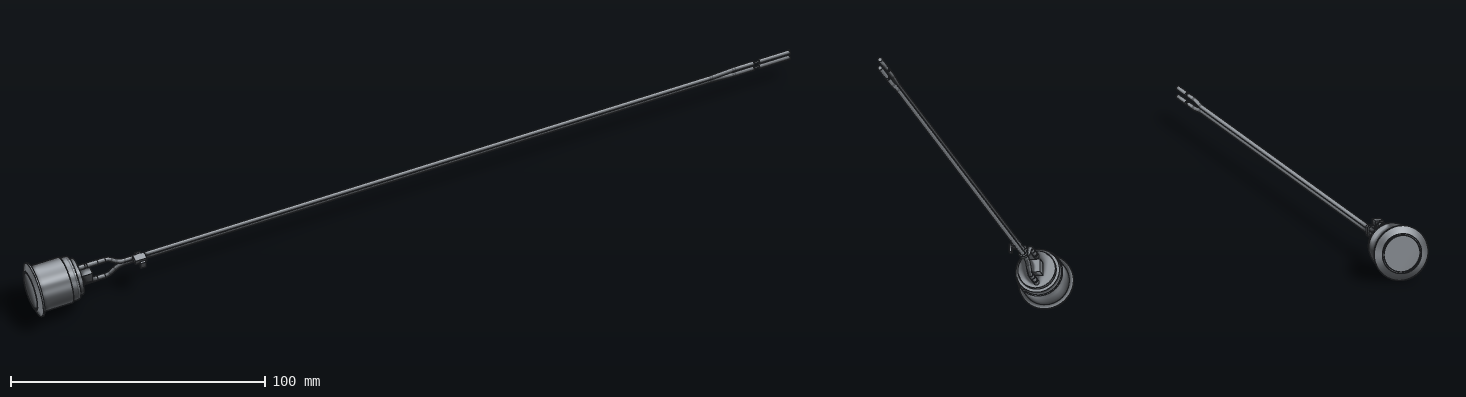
import cadquery as cq
import math

flange_diameter = 22.0
flange_back = 2.0
rim_angle = math.radians(22)
bezel_diameter = 16.0
cap_diameter = 14.7
cap_gap_depth = 0.5
barrel_diameter = 19.0
barrel_back = 14.7
collar_diameter = 18.0
collar_back = 18.0
collar_taper_length = 1.0
collar_back_diameter = 17.5
back_disc_diameter = 15.0
housing_back = 20.0
block_width = 5.0
block_back = 25.3

total_length = 320.0
core_diameter = 1.8
core_overlap = 0.05
cable_offset = (core_diameter - core_overlap) / 2
conductor_diameter = 0.8

breakout_start = 39.7
breakout_slope_start = 36.0
breakout_slope_end = 33.5
breakout_end = 31.5
breakout_angle = math.radians(43)

spread_start = 286.5
spread_slope_start = 287.5
spread_slope_end = 296.0
spread_end = 297.0
spread_angle = math.radians(5)
strip_start = 305.0
strip_end = 307.2

sleeve_diameter = 2.0
sleeve_end = 28.0
crimp_diameter = 2.1
crimp_end = 23.7
foot_start = 22.7

tie_front = 44.5
tie_back = 46.7
band_half_width = 1.45
band_half_height = 2.2
band_corner_radius = 0.8
band_thickness = 0.48
tail_thickness = 1.0
tail_bottom = 0.0
tail_top = 3.2
head_left = 1.3
head_right = 4.5
head_front = 42.5
head_back = 47.5
head_top = 4.5


def block(x_range, y_range, z_range):
    """Box spanning the given coordinate ranges."""
    sizes = [high - low for low, high in (x_range, y_range, z_range)]
    corner = (x_range[0], y_range[0], z_range[0])
    return cq.Workplane("XY").box(*sizes, centered=False).translate(corner)


def rod(diameter, y_start, y_end, z):
    """Round rod along Y at height z."""
    disc = cq.Workplane("XZ", origin=(0, y_start, z)).circle(diameter / 2)
    return disc.extrude(y_start - y_end)


def make_housing():
    """Turned push-button housing with a square block on its back."""
    flange_radius = flange_diameter / 2
    bezel_radius = bezel_diameter / 2
    cap_radius = cap_diameter / 2
    barrel_radius = barrel_diameter / 2
    collar_radius = collar_diameter / 2
    disc_radius = back_disc_diameter / 2
    rim_depth = (flange_radius - bezel_radius) * math.tan(rim_angle)
    profile = (
        cq.Workplane("XY")
        .moveTo(0, 0)
        .lineTo(cap_radius, 0)
        .lineTo(cap_radius, cap_gap_depth)
        .lineTo(bezel_radius, cap_gap_depth)
        .lineTo(bezel_radius, 0)
        .lineTo(flange_radius, rim_depth)
        .lineTo(flange_radius, flange_back)
        .lineTo(barrel_radius, flange_back)
        .lineTo(barrel_radius, barrel_back)
        .lineTo(collar_radius, barrel_back)
        .lineTo(collar_radius, collar_back - collar_taper_length)
        .lineTo(collar_back_diameter / 2, collar_back)
        .lineTo(disc_radius, collar_back)
        .lineTo(disc_radius, housing_back)
        .lineTo(0, housing_back)
        .close()
    )
    turned = profile.revolve(360, (0, 0, 0), (0, 1, 0))
    half = block_width / 2
    back_block = block((-half, half), (collar_back, block_back), (-half, half))
    return turned.union(back_block)


def bend_rise(length, angle):
    """Sideways offset gained over an arc of the given length along Y that turns by angle."""
    return length * math.tan(angle / 2)


breakout_slope_start_z = cable_offset + bend_rise(breakout_start - breakout_slope_start, breakout_angle)
breakout_slope_end_z = (
    breakout_slope_start_z + (breakout_slope_start - breakout_slope_end) * math.tan(breakout_angle)
)
terminal_z = breakout_slope_end_z + bend_rise(breakout_slope_end - breakout_end, breakout_angle)
spread_slope_start_z = cable_offset + bend_rise(spread_slope_start - spread_start, spread_angle)
spread_slope_end_z = (
    spread_slope_start_z + (spread_slope_end - spread_slope_start) * math.tan(spread_angle)
)
free_end_z = spread_slope_end_z + bend_rise(spread_end - spread_slope_end, spread_angle)


def make_insulation(side):
    """Core insulation from the breakout bend to the stripped gap."""
    path = (
        cq.Workplane("YZ")
        .moveTo(sleeve_end, side * terminal_z)
        .lineTo(breakout_end, side * terminal_z)
        .tangentArcPoint((breakout_slope_end, side * breakout_slope_end_z), relative=False)
        .lineTo(breakout_slope_start, side * breakout_slope_start_z)
        .tangentArcPoint((breakout_start, side * cable_offset), relative=False)
        .lineTo(spread_start, side * cable_offset)
        .tangentArcPoint((spread_slope_start, side * spread_slope_start_z), relative=False)
        .lineTo(spread_slope_end, side * spread_slope_end_z)
        .tangentArcPoint((spread_end, side * free_end_z), relative=False)
        .lineTo(strip_start, side * free_end_z)
    )
    start = cq.Workplane("XZ", origin=(0, sleeve_end, side * terminal_z))
    return start.circle(core_diameter / 2).sweep(path)


def make_terminal(side):
    """Sleeve, crimp, neck and foot from the breakout bend to the back of the housing."""
    centre = side * terminal_z
    sleeve = rod(sleeve_diameter, sleeve_end, breakout_end, centre)
    crimp = rod(crimp_diameter, crimp_end, sleeve_end, centre)
    neck = rod(core_diameter, foot_start, crimp_end, centre)
    foot = rod(crimp_diameter, housing_back, foot_start, centre)
    return sleeve.union(crimp).union(neck).union(foot)


def make_free_end(side):
    """Bare conductor across the stripped gap and the slug of insulation left on its tip."""
    conductor = rod(conductor_diameter, strip_start, strip_end, side * free_end_z)
    slug = rod(core_diameter, strip_end, total_length, side * free_end_z)
    return conductor.union(slug)


def make_core(side):
    """One complete core of the cable; side is +1 for the upper core and -1 for the lower."""
    return make_insulation(side).union(make_terminal(side)).union(make_free_end(side))


def make_cable_tie():
    """Band clamped round both cores, with its locking head and the tail beside it."""
    tie_range = (tie_front, tie_back)
    band = block(
        (-band_half_width, band_half_width), tie_range, (-band_half_height, band_half_height)
    )
    band = band.edges("|Y").fillet(band_corner_radius)
    strap = block(
        (0, head_right), tie_range, (band_half_height - band_thickness, band_half_height)
    )
    tail = block(
        (head_right, head_right + tail_thickness), tie_range, (tail_bottom, tail_top)
    )
    head = block(
        (head_left, head_right), (head_front, head_back), (band_half_height, head_top)
    )
    return band.union(strap).union(tail).union(head)


def make_harness():
    """Both cores of the cable and the tie around them, as one solid."""
    return make_core(1).union(make_core(-1)).union(make_cable_tie())


housing = make_housing()
harness = make_harness()

result = cq.Compound.makeCompound([*housing.solids().vals(), *harness.solids().vals()])